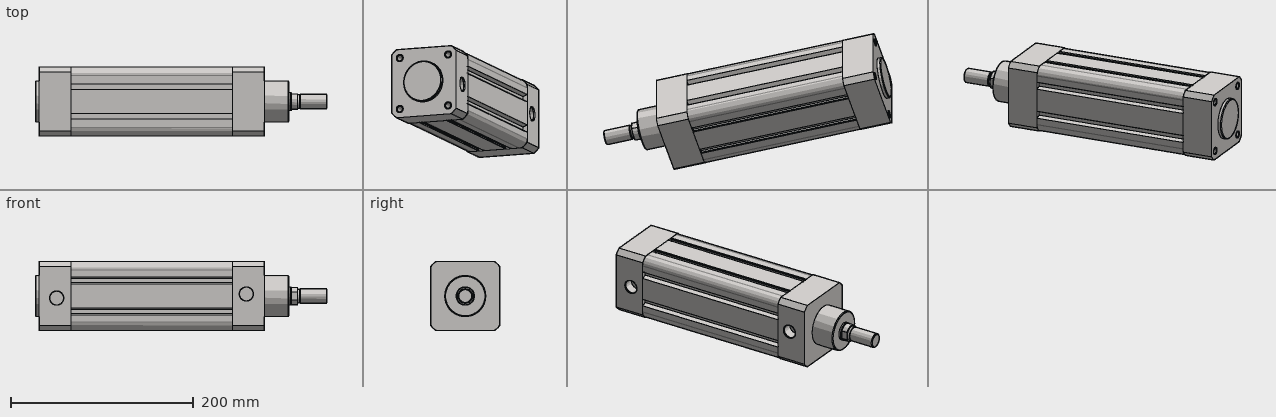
import cadquery as cq

OVERALL_LENGTH = 319.0
SPIGOT_LENGTH = 4.0
CAP_LENGTH = 34.8
TUBE_LENGTH = 176.7
BOSS_LENGTH = 26.8

REAR_CAP_X = SPIGOT_LENGTH
TUBE_X = REAR_CAP_X + CAP_LENGTH
FRONT_CAP_X = TUBE_X + TUBE_LENGTH
BOSS_X = FRONT_CAP_X + CAP_LENGTH
ROD_X = BOSS_X + BOSS_LENGTH

SECTION = 76.0
HALF_SECTION = SECTION / 2
CAP_CORNER_DIAMETER = 99.5
TUBE_CORNER_RADIUS = 9.5

BOSS_DIAMETER = 45.0
BOSS_CHAMFER = 1.0

SCREW_OFFSET = 28.5
SCREW_DIAMETER = 6.0
SCREW_RIM_DIAMETER = 8.0
SCREW_RIM_DEPTH = 0.5
SCREW_DEPTH = 19.0

PORT_MOUTH_DIAMETER = 15.5
PORT_MOUTH_DEPTH = 1.5
PORT_DIAMETER = 15.0
PORT_DEPTH = 12.8
PORT_Z_OFFSET = 2.2
REAR_PORT_INSET = 19.0
FRONT_PORT_INSET = 15.0

T_SLOT_OFFSET = 16.0
T_SLOT_MOUTH = 6.0
T_SLOT_LIP = 2.0
T_SLOT_WIDTH = 8.0
T_SLOT_DEPTH = 5.7
SIDE_GROOVE_OFFSET = 17.0
SIDE_GROOVE_MOUTH = 8.0
SIDE_GROOVE_FLOOR = 4.0
SIDE_GROOVE_DEPTH = 5.0

COLLAR_DIAMETER = 20.0
COLLAR_LENGTH = 2.0
COLLAR_TAPER_LENGTH = 1.0
FLATS_DIAMETER = 19.0
FLATS_WIDTH = 17.0
FLATS_LENGTH = 6.7
RELIEF_START_DIAMETER = 16.0
RELIEF_END_DIAMETER = 14.7
RELIEF_LENGTH = 2.2
THREAD_DIAMETER = 16.0
THREAD_CHAMFER = 1.0


def cylinder_x(start, length, diameter):
    """Cylinder on the X axis."""
    return cq.Workplane("YZ", origin=(start, 0, 0)).circle(diameter / 2).extrude(length)


def square_bar(start, length):
    return cq.Workplane("YZ", origin=(start, 0, 0)).rect(SECTION, SECTION).extrude(length)


def make_cap_block(start, port_inset, port_z):
    """Square cap with turned corners and a blind port in its -Y side."""
    block = square_bar(start, CAP_LENGTH).intersect(cylinder_x(start, CAP_LENGTH, CAP_CORNER_DIAMETER))
    port_face = cq.Workplane("XZ", origin=(start + port_inset, -HALF_SECTION, port_z))
    bore = port_face.circle(PORT_DIAMETER / 2).extrude(-PORT_DEPTH)
    mouth = port_face.circle(PORT_MOUTH_DIAMETER / 2).extrude(-PORT_MOUTH_DEPTH)
    return block.cut(bore).cut(mouth)


def make_rear_cap():
    cap = make_cap_block(REAR_CAP_X, REAR_PORT_INSET, -PORT_Z_OFFSET)
    spigot = cylinder_x(0, SPIGOT_LENGTH, BOSS_DIAMETER).faces("<X").chamfer(BOSS_CHAMFER)
    cap = cap.union(spigot)
    rim = cylinder_x(REAR_CAP_X, SCREW_RIM_DEPTH, SCREW_RIM_DIAMETER)
    hole = cylinder_x(REAR_CAP_X, SCREW_DEPTH, SCREW_DIAMETER).union(rim)
    for y in (-SCREW_OFFSET, SCREW_OFFSET):
        for z in (-SCREW_OFFSET, SCREW_OFFSET):
            cap = cap.cut(hole.translate((0, y, z)))
    return cap


def make_front_cap():
    cap = make_cap_block(FRONT_CAP_X, FRONT_PORT_INSET, PORT_Z_OFFSET)
    boss = cylinder_x(BOSS_X, BOSS_LENGTH, BOSS_DIAMETER).faces(">X").chamfer(BOSS_CHAMFER)
    return cap.union(boss)


def tube_groove(half_outline):
    """Cutter for a groove centred on +Z, from (half width, depth) points between mouth and floor."""
    right = [(half_width, HALF_SECTION - depth) for half_width, depth in half_outline]
    left = [(-y, z) for y, z in reversed(right)]
    return cq.Workplane("YZ", origin=(TUBE_X, 0, 0)).polyline(right + left).close().extrude(TUBE_LENGTH)


def make_tube():
    tube = square_bar(TUBE_X, TUBE_LENGTH).edges("|X").fillet(TUBE_CORNER_RADIUS)
    t_slot = tube_groove([
        (T_SLOT_MOUTH / 2, 0),
        (T_SLOT_MOUTH / 2, T_SLOT_LIP),
        (T_SLOT_WIDTH / 2, T_SLOT_LIP),
        (T_SLOT_WIDTH / 2, T_SLOT_DEPTH),
    ])
    side_groove = tube_groove([
        (SIDE_GROOVE_MOUTH / 2, 0),
        (SIDE_GROOVE_FLOOR / 2, SIDE_GROOVE_DEPTH),
    ])
    for side in (-1, 1):
        placed_t_slot = t_slot.translate((0, side * T_SLOT_OFFSET, 0))
        placed_side_groove = side_groove.translate((0, side * SIDE_GROOVE_OFFSET, 0))
        for turn in (0, 180):
            tube = tube.cut(placed_t_slot.rotate((0, 0, 0), (1, 0, 0), turn))
            tube = tube.cut(placed_side_groove.rotate((0, 0, 0), (1, 0, 0), turn + 90))
    return tube


def make_rod():
    taper_x = ROD_X + COLLAR_LENGTH
    flats_x = taper_x + COLLAR_TAPER_LENGTH
    relief_x = flats_x + FLATS_LENGTH
    thread_x = relief_x + RELIEF_LENGTH
    thread_radius = THREAD_DIAMETER / 2
    chamfered_radius = thread_radius - THREAD_CHAMFER
    profile = [
        (ROD_X, 0),
        (ROD_X, COLLAR_DIAMETER / 2),
        (taper_x, COLLAR_DIAMETER / 2),
        (flats_x, FLATS_DIAMETER / 2),
        (relief_x, FLATS_DIAMETER / 2),
        (relief_x, RELIEF_START_DIAMETER / 2),
        (thread_x, RELIEF_END_DIAMETER / 2),
        (thread_x, chamfered_radius),
        (thread_x + THREAD_CHAMFER, thread_radius),
        (OVERALL_LENGTH - THREAD_CHAMFER, thread_radius),
        (OVERALL_LENGTH, chamfered_radius),
        (OVERALL_LENGTH, 0),
    ]
    rod = cq.Workplane("XY").polyline(profile).close().revolve(360, (0, 0, 0), (1, 0, 0))
    for side in (-1, 1):
        flat_cutter = cq.Workplane("XY").box(FLATS_LENGTH, FLATS_DIAMETER, FLATS_DIAMETER).translate(
            (flats_x + FLATS_LENGTH / 2, side * (FLATS_WIDTH + FLATS_DIAMETER) / 2, 0)
        )
        rod = rod.cut(flat_cutter)
    return rod


rear_cap = make_rear_cap()
front_cap = make_front_cap()
tube = make_tube()
rod = make_rod()

result = cq.Compound.makeCompound([rear_cap.val(), front_cap.val(), tube.val(), rod.val()])